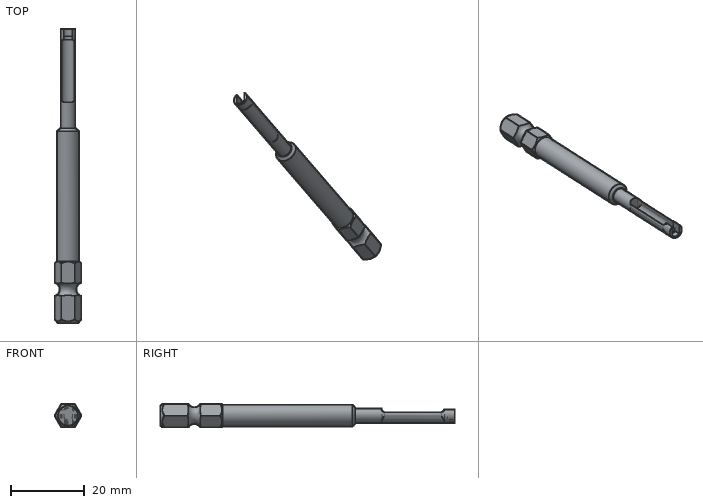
import cadquery as cq
import math

LENGTH = 80.0

HEX_FLATS = 6.35
HEX_CORNER_RADIUS = HEX_FLATS / math.sqrt(3)
HEX_LENGTH = 16.95
END_FACE_RADIUS = 2.7
END_CHAMFER_LENGTH = 1.15
SHOULDER_LENGTH = 0.65

GROOVE_CENTER_Y = 9.25
GROOVE_RADIUS = 2.3
GROOVE_HALF_WIDTH = 1.8

BODY_RADIUS = 3.0
SHANK_RADIUS = 2.0
SHANK_LENGTH = 27.0
BODY_CHAMFER = 0.8
BODY_END_Y = LENGTH - SHANK_LENGTH

SLOT_HALF_WIDTH = 1.1
TIP_FLOOR_RADIUS = 1.5
TIP_SLOT_LENGTH = 2.0
NECK_FLOOR_RADIUS = 1.15
POCKET_RADIUS = 1.75
POCKET_CORNER_RADIUS = 0.8
POCKET_TIP_DISTANCE = 2.9
POCKET_LENGTH = 17.0

CLEARANCE = 1.0


def cylinder(radius, start_y, end_y):
    """Cylinder on the Y axis."""
    return cq.Workplane("XZ", origin=(0, start_y, 0)).circle(radius).extrude(start_y - end_y)


def chamfered_hex_envelope():
    """Turned solid that bevels the corners at both ends of the hex."""
    outer = HEX_CORNER_RADIUS
    return (
        cq.Workplane("XY")
        .polyline([
            (0, 0),
            (END_FACE_RADIUS, 0),
            (outer, END_CHAMFER_LENGTH),
            (outer, HEX_LENGTH - SHOULDER_LENGTH),
            (BODY_RADIUS, HEX_LENGTH),
            (0, HEX_LENGTH),
        ])
        .close()
        .revolve(360, (0, 0, 0), (0, 1, 0))
    )


def retaining_groove():
    """Turned ring removed from the hex."""
    start = (HEX_CORNER_RADIUS, GROOVE_CENTER_Y - GROOVE_HALF_WIDTH)
    deepest = (GROOVE_RADIUS, GROOVE_CENTER_Y)
    end = (HEX_CORNER_RADIUS, GROOVE_CENTER_Y + GROOVE_HALF_WIDTH)
    return (
        cq.Workplane("XY")
        .moveTo(*start)
        .threePointArc(deepest, end)
        .lineTo(HEX_CORNER_RADIUS + CLEARANCE, end[1])
        .lineTo(HEX_CORNER_RADIUS + CLEARANCE, start[1])
        .close()
        .revolve(360, (0, 0, 0), (0, 1, 0))
    )


def hex_drive():
    """Hex end with beveled corners and the retaining groove."""
    across_corners = 2 * HEX_CORNER_RADIUS
    bar = cq.Workplane("XZ").polygon(6, across_corners).extrude(-HEX_LENGTH)
    return bar.intersect(chamfered_hex_envelope()).cut(retaining_groove())


def body():
    """Round body, chamfered where it meets the shank."""
    blank = cylinder(BODY_RADIUS, HEX_LENGTH, BODY_END_Y)
    return blank.faces(">Y").chamfer(BODY_CHAMFER)


def round_floor_slot(half_width, floor_radius, start_y, end_y):
    """Straight-walled slot, open at the top, with a floor rounded about the axis."""
    wall_foot_z = -math.sqrt(floor_radius**2 - half_width**2)
    top_z = SHANK_RADIUS + CLEARANCE
    return (
        cq.Workplane("XZ", origin=(0, start_y, 0))
        .moveTo(-half_width, top_z)
        .lineTo(-half_width, wall_foot_z)
        .threePointArc((0, -floor_radius), (half_width, wall_foot_z))
        .lineTo(half_width, top_z)
        .close()
        .extrude(start_y - end_y)
    )


def pocket():
    """Round-bottomed pocket whose corners are rounded in plan."""
    end_y = LENGTH - POCKET_TIP_DISTANCE
    start_y = end_y - POCKET_LENGTH
    plan = (
        cq.Workplane("XY", origin=(0, (start_y + end_y) / 2, -SHANK_RADIUS))
        .rect(2 * POCKET_RADIUS, POCKET_LENGTH)
        .extrude(2 * SHANK_RADIUS + CLEARANCE)
        .edges("|Z")
        .fillet(POCKET_CORNER_RADIUS)
    )
    return round_floor_slot(POCKET_RADIUS, POCKET_RADIUS, start_y, end_y).intersect(plan)


def shank():
    """Thin shank with the pocket, and a neck slot and deeper tip slot beyond it."""
    blank = cylinder(SHANK_RADIUS, BODY_END_Y, LENGTH)
    tip_slot_start_y = LENGTH - TIP_SLOT_LENGTH
    neck_start_y = LENGTH - POCKET_TIP_DISTANCE - POCKET_CORNER_RADIUS
    tip_slot = round_floor_slot(SLOT_HALF_WIDTH, TIP_FLOOR_RADIUS, tip_slot_start_y, LENGTH)
    neck = round_floor_slot(SLOT_HALF_WIDTH, NECK_FLOOR_RADIUS, neck_start_y, tip_slot_start_y)
    return blank.cut(pocket()).cut(neck).cut(tip_slot)


result = hex_drive().union(body()).union(shank())